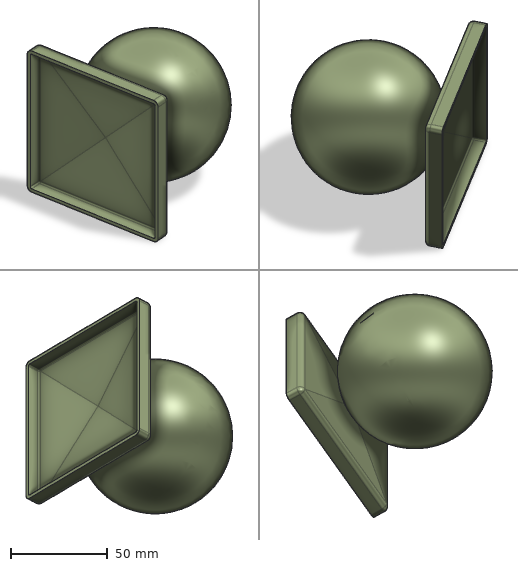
import cadquery as cq

cap_width = 85.5
rim_height = 9.5
wall = 2.0
outer_round = 3.0
inner_round = outer_round - wall

roof_rise = 3.4

total_length = 91.5
ball_radius = 40.0
ball_center = total_length - ball_radius


def square_block(width, height, round_radius):
    """Square block from Y = 0 to Y = height, rounded on its sides and +Y edges."""
    return (
        cq.Workplane("XZ")
        .rect(width, width)
        .extrude(-height)
        .edges("|Y")
        .fillet(round_radius)
        .faces(">Y")
        .edges()
        .fillet(round_radius)
    )


def pyramid(width, base_height, rise):
    """Square pyramid pointing to +Y, with its base at Y = base_height."""
    half = width / 2
    apex = cq.Vector(0, base_height + rise, 0)
    corners = [
        cq.Vector(x, base_height, z)
        for x, z in ((-half, -half), (half, -half), (half, half), (-half, half))
    ]
    faces = [cq.Face.makeFromWires(cq.Wire.makePolygon(corners, close=True))]
    for start, end in zip(corners, corners[1:] + corners[:1]):
        faces.append(cq.Face.makeFromWires(cq.Wire.makePolygon([start, end, apex], close=True)))
    return cq.Workplane(cq.Solid.makeSolid(cq.Shell.makeShell(faces)))


def roofed_block(width, height, round_radius, rise):
    """Rounded block topped by a pyramid that starts where the edge rounding ends."""
    block = square_block(width, height, round_radius)
    return block.union(pyramid(width - 2 * round_radius, height, rise))


outside = roofed_block(cap_width, rim_height, outer_round, roof_rise)
cavity = roofed_block(cap_width - 2 * wall, rim_height - wall, inner_round, roof_rise)
ball = cq.Workplane("XY").sphere(ball_radius).translate((0, ball_center, 0))

result = outside.union(ball).cut(cavity)